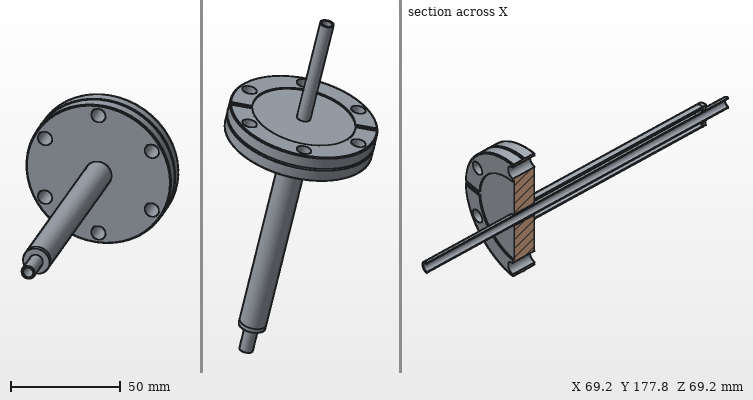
import cadquery as cq
import math

pipe_length = 177.8
pipe_rear = pipe_length / 2
pipe_diameter = 6.4
pipe_bore = 4.8

flange_diameter = 69.2
flange_thickness = 13.0
flange_rear = 38.2
flange_front = flange_rear - flange_thickness
rim_chamfer = 0.5
rim_band_width = 1.0
rim_band_height = 0.09

recess_diameter = 48.2
recess_depth = 0.7
channel_width = 2.5

bolt_count = 6
bolt_circle_diameter = 58.7
bolt_hole_diameter = 6.8

sleeve_diameter = 12.6
sleeve_bore = 10.8
sleeve_length = 99.0
end_ring_length = 2.1


def cylinder(diameter, rear, length):
    """Solid cylinder on the Y axis, running from `rear` toward -Y."""
    return cq.Workplane("XZ", origin=(0, rear, 0)).circle(diameter / 2).extrude(length)


def tube(outer_diameter, inner_diameter, rear, length):
    """Hollow cylinder on the Y axis, running from `rear` toward -Y."""
    return cylinder(outer_diameter, rear, length).cut(cylinder(inner_diameter, rear, length))


def rim_band():
    """Slightly raised band around the middle of the flange rim."""
    band_rear = flange_rear - (flange_thickness - rim_band_width) / 2
    return cylinder(flange_diameter, band_rear, rim_band_width)


def bolt_holes():
    """Through holes evenly spaced on the bolt circle."""
    radius = bolt_circle_diameter / 2
    centres = []
    for index in range(bolt_count):
        angle = 2 * math.pi * index / bolt_count
        centres.append((radius * math.sin(angle), radius * math.cos(angle)))
    return (
        cq.Workplane("XZ", origin=(0, flange_rear, 0))
        .pushPoints(centres)
        .circle(bolt_hole_diameter / 2)
        .extrude(flange_thickness)
    )


def rear_recess():
    """Round recess and the channel crossing it from rim to rim, to cut from the rear face."""
    recess = cylinder(recess_diameter, flange_rear, recess_depth)
    channel = (
        cq.Workplane("XZ", origin=(0, flange_rear, 0))
        .rect(flange_diameter, channel_width)
        .extrude(recess_depth)
    )
    return recess.union(channel)


def make_flange():
    """Chamfered disc with a banded rim, bolt holes and a bore for the pipe."""
    disc_diameter = flange_diameter - 2 * rim_band_height
    disc = cylinder(disc_diameter, flange_rear, flange_thickness).edges().chamfer(rim_chamfer)
    pipe_hole = cylinder(pipe_diameter, flange_rear, flange_thickness)
    return disc.union(rim_band()).cut(rear_recess()).cut(bolt_holes()).cut(pipe_hole)


def make_sleeve():
    """Thin-walled tube standing on the front face of the flange."""
    return tube(sleeve_diameter, sleeve_bore, flange_front, sleeve_length)


def make_end_ring():
    """Ring that fills the space around the pipe and closes the free end of the sleeve."""
    return tube(sleeve_diameter, pipe_diameter, flange_front - sleeve_length, end_ring_length)


def make_pipe():
    """Long pipe passing through the flange, sleeve and end ring."""
    return tube(pipe_diameter, pipe_bore, pipe_rear, pipe_length)


flange = make_flange()
sleeve = make_sleeve()
end_ring = make_end_ring()
pipe = make_pipe()

bodies = [flange, sleeve, end_ring, pipe]
result = cq.Compound.makeCompound([body.solids().val() for body in bodies])